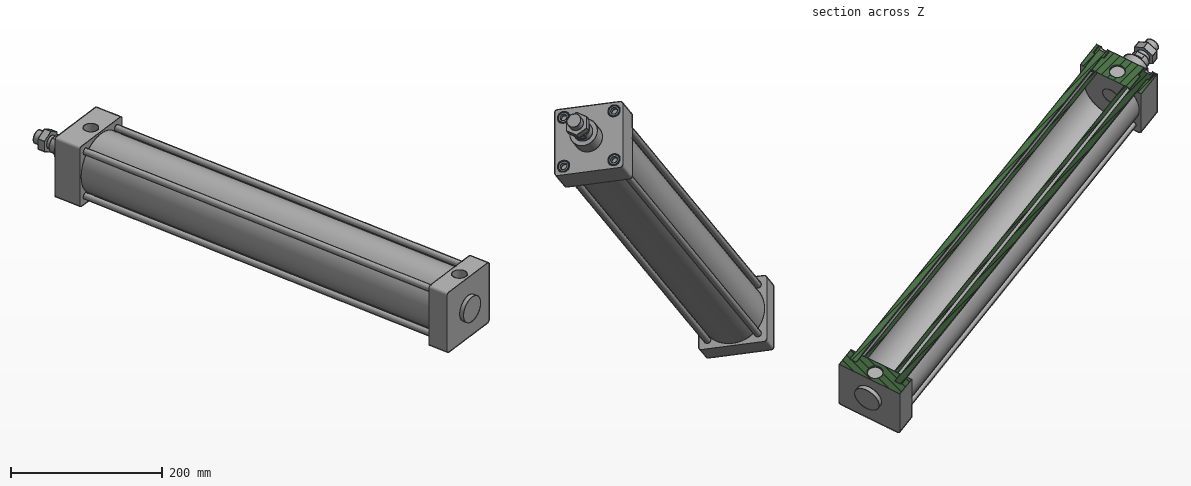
import cadquery as cq

LENGTH = 710.0
NUT_START = 11.5
NUT_THICKNESS = 11.0
THREAD_LENGTH = 28.5
FLAT_LENGTH = 7.0
NECK_START = 41.0
HEAD_START = 63.0
HEAD_END = 104.0
CAP_START = 674.0
CAP_END = 703.5

BLOCK_SIZE = 95.0
CORNER_RADIUS = 4.0
BOSS_DIAMETER = 38.0

PORT_DIAMETER = 20.5
PORT_DEPTH = 14.0
HEAD_PORT_X = 87.0
CAP_PORT_X = 689.5

BARREL_DIAMETER = 89.0
BARREL_BORE = 82.5

ROD_DIAMETER = 25.5
ROD_ACROSS_FLATS = 23.0
THREAD_DIAMETER = 19.0
NUT_ACROSS_FLATS = 28.5

TIE_ROD_PITCH = 70.0
TIE_ROD_DIAMETER = 9.0
TIE_HEAD_DIAMETER = 15.5
TIE_HEAD_CHAMFER = 1.0
COUNTERBORE_DIAMETER = 17.0
COUNTERBORE_DEPTH = 14.0
COUNTERBORE_END = HEAD_START + COUNTERBORE_DEPTH
SOCKET_DIAMETER = 9.0
SOCKET_DEPTH = 6.0
TIE_ROD_GRIP = 14.0
TIE_ROD_END = CAP_START + TIE_ROD_GRIP

TIE_ROD_OFFSET = TIE_ROD_PITCH / 2
TIE_ROD_CENTRES = [(sy * TIE_ROD_OFFSET, sz * TIE_ROD_OFFSET) for sy in (-1, 1) for sz in (-1, 1)]


def cylinder(diameter, start, end, centre=(0, 0)):
    """Cylinder along X from start to end, around the (y, z) centre."""
    return cq.Workplane("YZ", origin=(start, 0, 0)).center(*centre).circle(diameter / 2).extrude(end - start)


def make_block(start, end):
    """Square block with rounded edges along X."""
    block = cq.Workplane("YZ", origin=(start, 0, 0)).rect(BLOCK_SIZE, BLOCK_SIZE).extrude(end - start)
    return block.edges("|X").fillet(CORNER_RADIUS)


def make_port(x):
    """Blind vertical port cut down from the top face of a block."""
    top = cq.Workplane("XY", origin=(x, 0, BLOCK_SIZE / 2))
    return top.circle(PORT_DIAMETER / 2).extrude(-PORT_DEPTH)


def make_tie_rod(centre):
    """Long screw whose chamfered socket head ends flush with the front block."""
    head = cylinder(TIE_HEAD_DIAMETER, HEAD_START, COUNTERBORE_END, centre)
    head = head.faces("<X").edges().chamfer(TIE_HEAD_CHAMFER)
    shank = cylinder(TIE_ROD_DIAMETER, COUNTERBORE_END, TIE_ROD_END, centre)
    socket = cylinder(SOCKET_DIAMETER, HEAD_START, HEAD_START + SOCKET_DEPTH, centre)
    return head.union(shank).cut(socket)


def make_head():
    """Front block with the rod boss, rod bore, port and counterbored tie rod holes."""
    head = make_block(HEAD_START, HEAD_END)
    head = head.union(cylinder(BOSS_DIAMETER, NECK_START, HEAD_START))
    head = head.cut(cylinder(ROD_DIAMETER, NECK_START, HEAD_END))
    head = head.cut(make_port(HEAD_PORT_X))
    for centre in TIE_ROD_CENTRES:
        head = head.cut(cylinder(COUNTERBORE_DIAMETER, HEAD_START, COUNTERBORE_END, centre))
        head = head.cut(cylinder(TIE_ROD_DIAMETER, HEAD_START, HEAD_END, centre))
    return head


def make_cap():
    """Rear block with its boss, port and blind tie rod holes."""
    cap = make_block(CAP_START, CAP_END)
    cap = cap.union(cylinder(BOSS_DIAMETER, CAP_END, LENGTH))
    cap = cap.cut(make_port(CAP_PORT_X))
    for centre in TIE_ROD_CENTRES:
        cap = cap.cut(cylinder(TIE_ROD_DIAMETER, CAP_START, TIE_ROD_END, centre))
    return cap


def make_barrel():
    """Tube between the two end blocks."""
    tube = cylinder(BARREL_DIAMETER, HEAD_END, CAP_START)
    return tube.cut(cylinder(BARREL_BORE, HEAD_END, CAP_START))


def make_rod():
    """Rod with a threaded end, two wrench flats facing up and down, and a shaft through the front block."""
    flats_end = THREAD_LENGTH + FLAT_LENGTH
    thread = cylinder(THREAD_DIAMETER, 0, THREAD_LENGTH)
    shoulder = cq.Workplane("YZ", origin=(THREAD_LENGTH, 0, 0))
    slab = shoulder.rect(ROD_DIAMETER, ROD_ACROSS_FLATS).extrude(FLAT_LENGTH)
    flats = cylinder(ROD_DIAMETER, THREAD_LENGTH, flats_end).intersect(slab)
    shaft = cylinder(ROD_DIAMETER, flats_end, HEAD_END)
    return thread.union(flats).union(shaft)


def make_nut():
    """Hexagonal nut with corners pointing up and down."""
    face = cq.Workplane("YZ", origin=(NUT_START, 0, 0))
    nut = face.polygon(6, NUT_ACROSS_FLATS, circumscribed=True).extrude(NUT_THICKNESS)
    return nut.cut(cylinder(THREAD_DIAMETER, NUT_START, NUT_START + NUT_THICKNESS))


head = make_head()
cap = make_cap()
barrel = make_barrel()
rod = make_rod()
nut = make_nut()
tie_rods = [make_tie_rod(centre) for centre in TIE_ROD_CENTRES]

result = cq.Compound.makeCompound(
    [head.val(), cap.val(), barrel.val(), rod.val(), nut.val(), *[tie_rod.val() for tie_rod in tie_rods]]
)